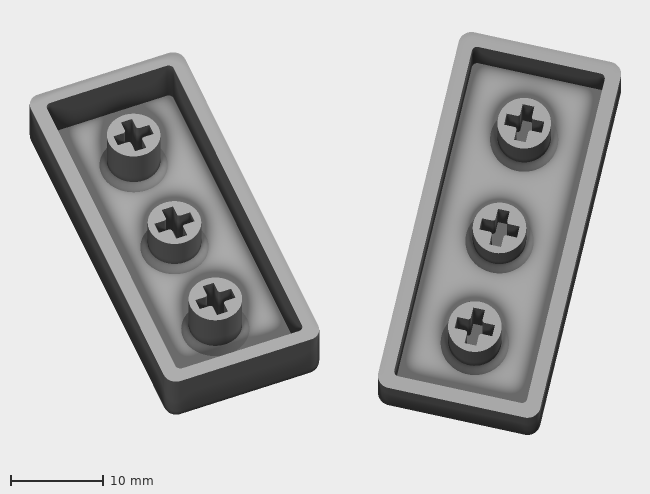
import cadquery as cq

length = 41.85
width = 18.05
height = 6.9
edge_radius = 1.42
end_wall = 1.55
side_wall = 1.65
floor_thickness = 1.5
cavity_corner_radius = 0.6

stem_pitch = 11.97
stem_diameter = 5.8
middle_stem_drop = 1.0
flare_size = 0.8

cross_span = 4.2
cross_arm_width = 1.3
cross_corner_radius = 0.3

outer_stem_top = height
middle_stem_top = height - middle_stem_drop


def make_shell():
    body = (
        cq.Workplane("XY")
        .box(length, width, height, centered=(True, True, False))
        .edges("|Z or <Z")
        .fillet(edge_radius)
    )
    cavity = (
        cq.Workplane("XY", origin=(0, 0, floor_thickness))
        .rect(length - 2 * end_wall, width - 2 * side_wall)
        .extrude(height - floor_thickness)
        .edges("|Z")
        .fillet(cavity_corner_radius)
    )
    return body.cut(cavity)


def make_stem(stem_top):
    """Flared round stem, as a revolved half profile reaching into the floor."""
    stem_radius = stem_diameter / 2
    flare_radius = stem_radius + flare_size
    foot = floor_thickness / 2
    return (
        cq.Workplane("XZ")
        .moveTo(0, foot)
        .lineTo(flare_radius, foot)
        .lineTo(flare_radius, floor_thickness)
        .lineTo(stem_radius, floor_thickness + flare_size)
        .lineTo(stem_radius, stem_top)
        .lineTo(0, stem_top)
        .close()
        .revolve(360, (0, 0, 0), (0, 1, 0))
    )


def make_socket(stem_top):
    """Cross-shaped cutter down to the floor, with its four inner corners rounded."""
    socket_depth = stem_top - floor_thickness
    base = cq.Workplane("XY", origin=(0, 0, floor_thickness))
    cross = (
        base.rect(cross_span, cross_arm_width)
        .extrude(socket_depth)
        .union(base.rect(cross_arm_width, cross_span).extrude(socket_depth))
    )
    inner_corners = cq.selectors.BoxSelector(
        (-cross_arm_width, -cross_arm_width, 0),
        (cross_arm_width, cross_arm_width, height),
    )
    return cross.edges("|Z").edges(inner_corners).fillet(cross_corner_radius)


result = make_shell()
for stem_x, top in (
    (-stem_pitch, outer_stem_top),
    (0, middle_stem_top),
    (stem_pitch, outer_stem_top),
):
    stem = make_stem(top).cut(make_socket(top))
    result = result.union(stem.translate((stem_x, 0, 0)))